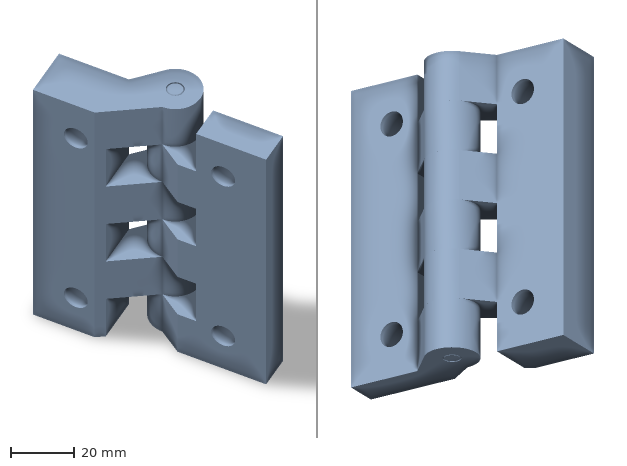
import cadquery as cq
import math

height = 102.0
leaf_reach = 40.0
knuckle_count = 6
knuckle_height = height / knuckle_count
knuckle_radius = 9.0

leaf_back_y = -3.0
thick_front_y = -21.0
thin_front_y = -14.7
neck_x = 15.0
thick_bend_x = 18.0
thin_bend_x = 8.4

pin_diameter = 6.0
pin_chamfer = 0.5

hole_diameter = 8.5
hole_x = 24.7
hole_spacing = 72.4


def leaf_profile(side, front_y, bend_x):
    """Leaf section wrapped around the knuckle; side is -1 for -X or +1 for +X."""
    corner_distance = math.hypot(neck_x, leaf_back_y)
    corner_angle = math.atan2(leaf_back_y, neck_x)
    tangent_angle = corner_angle + math.acos(knuckle_radius / corner_distance)
    tangent_point = (
        side * knuckle_radius * math.cos(tangent_angle),
        knuckle_radius * math.sin(tangent_angle),
    )
    return (
        cq.Workplane("XY", origin=(0, 0, -height / 2))
        .moveTo(side * leaf_reach, front_y)
        .lineTo(side * leaf_reach, leaf_back_y)
        .lineTo(side * neck_x, leaf_back_y)
        .lineTo(*tangent_point)
        .threePointArc((-side * knuckle_radius, 0), (0, -knuckle_radius))
        .lineTo(side * bend_x, front_y)
        .close()
    )


def make_leaf(side, front_y, bend_x, first_gap):
    """Leaf with alternate knuckles removed, a pin bore and two mounting holes."""
    leaf = leaf_profile(side, front_y, bend_x).extrude(height)

    gap_width = neck_x + knuckle_radius
    gap_centre_x = side * (neck_x - gap_width / 2)
    gap_depth = 2 * (knuckle_radius - front_y)
    for index in range(first_gap, knuckle_count, 2):
        gap_centre_z = -height / 2 + (index + 0.5) * knuckle_height
        gap = cq.Workplane("XY").box(gap_width, gap_depth, knuckle_height)
        leaf = leaf.cut(gap.translate((gap_centre_x, 0, gap_centre_z)))

    bore = cq.Workplane("XY").circle(pin_diameter / 2).extrude(height / 2, both=True)
    leaf = leaf.cut(bore)

    holes = (
        cq.Workplane("XZ", origin=(0, leaf_back_y, 0))
        .pushPoints([(side * hole_x, z) for z in (-hole_spacing / 2, hole_spacing / 2)])
        .circle(hole_diameter / 2)
        .extrude(leaf_back_y - front_y)
    )
    return leaf.cut(holes)


def make_pin():
    """Full-height pin with chamfered ends."""
    pin = cq.Workplane("XY").circle(pin_diameter / 2).extrude(height / 2, both=True)
    return pin.faces("<Z or >Z").chamfer(pin_chamfer)


thick_leaf = make_leaf(-1, thick_front_y, thick_bend_x, first_gap=0)
thin_leaf = make_leaf(1, thin_front_y, thin_bend_x, first_gap=1)
pin = make_pin()

result = cq.Compound.makeCompound([thick_leaf.val(), thin_leaf.val(), pin.val()])